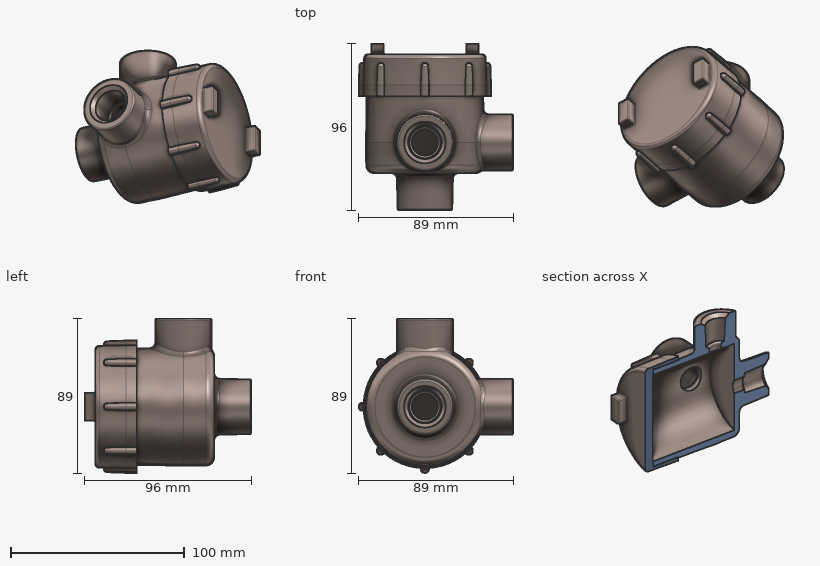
import cadquery as cq
import math


tolerance = 0.01

draft_slope = math.tan(math.radians(1))
barrel_radius = 34.2
end_face_y = -17.8
barrel_end_radius = barrel_radius + end_face_y * draft_slope
end_rounding = 5.0
end_wall = 4.0
cavity_radius = 29.4
cavity_front_y = end_face_y + end_wall

side_hub_reach = 50.8
side_hub_radius = 32.6 / 2
front_hub_reach = 39.0
front_hub_tip_radius = 15.8
front_hub_root_radius = 16.3
hub_fillet = 3.0
hub_tip_rounding = 1.0

mouth_radius = 12.0
bore_radius = 9.6
bore_depth = 17.3
bore_end_radius = 9.0
lip_radius = 15.1 / 2

cap_skirt_y = 26.8
cap_parting_y = 33.2
cap_top_y = 50.9
cap_radius = 35.4
cap_top_radius = cap_radius - (cap_top_y - cap_parting_y) * draft_slope
cap_rounding = 2.5
cap_thickness = 5.8
neck_radius = 66.5 / 2
neck_end_y = cap_top_y - cap_thickness

rib_count = 8
rib_axis_radius = 35.8
rib_radius = 2.4
rib_tip_radius = 2.0
rib_taper_end_y = 43.9

lug_spacing = 54.7
lug_width = 7.3
lug_length = 16.2
lug_height = 6.1
lug_rounding = 0.7
lug_root_fillet = 0.5


def revolve_about_y(outline):
    """Close an outline drawn in radius and Y, and turn it about the Y axis."""
    return outline.close().revolve(360, (0, 0, 0), (0, 1, 0))


def turn_to_x(shape):
    """Turn a shape that points along -Y so that it points along +X."""
    return shape.rotate((0, 0, 0), (0, 0, 1), 90)


def turn_to_z(shape):
    """Turn a shape that points along -Y so that it points along +Z."""
    return shape.rotate((0, 0, 0), (1, 0, 0), -90)


def fillet_edges(body, radius, belongs):
    """Round the edges of a body for which belongs(edge) is true."""
    solid = body.solids().val()
    chosen = [edge for edge in solid.Edges() if belongs(edge)]
    return cq.Workplane(solid.fillet(radius, chosen))


def is_circle(edge, radius, y):
    """True for a circle about the Y axis with this radius, at height y."""
    return (
        edge.geomType() == "CIRCLE"
        and abs(edge.radius() - radius) < tolerance
        and abs(edge.Center().y - y) < tolerance
    )


def is_side_hub_root(edge):
    """True for the curves in which the side hubs meet the barrel."""
    if edge.geomType() == "LINE":
        return False
    point = edge.positionAt(0.5)
    for along, across in ((point.x, point.z), (point.z, point.x)):
        on_hub = abs(math.hypot(point.y, across) - side_hub_radius) < tolerance
        if on_hub and 0 < along < barrel_radius + tolerance:
            return True
    return False


def make_hub_bore(reach, inner_y):
    """Cutter for a bore along -Y, from the hub tip to inner_y inside the cavity."""
    chamfer_end_y = -reach + (mouth_radius - bore_radius)
    lip_start_y = -reach + bore_depth
    lip_rounding = bore_end_radius - lip_radius
    outline = (
        cq.Workplane("XY")
        .moveTo(0, -reach)
        .lineTo(mouth_radius, -reach)
        .lineTo(bore_radius, chamfer_end_y)
        .lineTo(bore_end_radius, lip_start_y)
        .radiusArc((lip_radius, lip_start_y + lip_rounding), lip_rounding)
        .lineTo(lip_radius, inner_y)
        .lineTo(0, inner_y)
    )
    return revolve_about_y(outline)


def make_barrel():
    """Solid barrel with the front hub and the neck that enters the cap."""
    skirt_radius = barrel_radius - cap_skirt_y * draft_slope
    outline = (
        cq.Workplane("XY")
        .moveTo(0, -front_hub_reach)
        .lineTo(front_hub_tip_radius, -front_hub_reach)
        .lineTo(front_hub_root_radius, end_face_y)
        .lineTo(barrel_end_radius, end_face_y)
        .lineTo(barrel_radius, 0)
        .lineTo(skirt_radius, cap_skirt_y)
        .lineTo(neck_radius, cap_skirt_y)
        .lineTo(neck_radius, neck_end_y)
        .lineTo(0, neck_end_y)
    )
    barrel = revolve_about_y(outline)
    barrel = barrel.rotate((0, 0, 0), (0, 1, 0), 135)
    barrel = fillet_edges(barrel, end_rounding, lambda edge: is_circle(edge, barrel_end_radius, end_face_y))
    barrel = fillet_edges(barrel, hub_fillet, lambda edge: is_circle(edge, front_hub_root_radius, end_face_y))
    return barrel.faces("<Y").edges().fillet(hub_tip_rounding)


def make_housing():
    side_post = cq.Workplane("XZ").circle(side_hub_radius).extrude(side_hub_reach)
    side_post = side_post.faces("<Y").edges().fillet(hub_tip_rounding)
    body = make_barrel().union(turn_to_x(side_post)).union(turn_to_z(side_post))
    body = fillet_edges(body, hub_fillet, is_side_hub_root)

    cavity_length = neck_end_y - cavity_front_y
    cavity = cq.Workplane("XZ", (0, neck_end_y, 0)).circle(cavity_radius).extrude(cavity_length)
    front_bore = make_hub_bore(front_hub_reach, cavity_front_y)
    side_bore = make_hub_bore(side_hub_reach, 0)
    return body.cut(cavity).cut(front_bore).cut(turn_to_x(side_bore)).cut(turn_to_z(side_bore))


def make_rib():
    """Grip rib along Y on the +X side: straight, then tapered, with a ball end."""
    outline = (
        cq.Workplane("XY")
        .moveTo(0, cap_skirt_y)
        .lineTo(rib_radius, cap_skirt_y)
        .lineTo(rib_radius, cap_parting_y)
        .lineTo(rib_tip_radius, rib_taper_end_y)
        .radiusArc((0, rib_taper_end_y + rib_tip_radius), -rib_tip_radius)
    )
    return revolve_about_y(outline).translate((rib_axis_radius, 0, 0))


def is_lug_root(edge):
    """True for the outline in which a lug stands on the closed end of the cap."""
    on_cap_top = abs(edge.Center().y - cap_top_y) < tolerance
    on_cap_rim = edge.geomType() == "CIRCLE" and edge.radius() > lug_length
    return on_cap_top and not on_cap_rim


def make_lug(x):
    lug = (
        cq.Workplane("XZ", (x, cap_top_y, 0))
        .rect(lug_width, lug_length)
        .extrude(-lug_height)
    )
    return lug.edges("|Y or >Y").fillet(lug_rounding)


def make_cap():
    outline = (
        cq.Workplane("XY")
        .moveTo(0, cap_skirt_y)
        .lineTo(cap_radius, cap_skirt_y)
        .lineTo(cap_radius, cap_parting_y)
        .lineTo(cap_top_radius, cap_top_y)
        .lineTo(0, cap_top_y)
    )
    cap = revolve_about_y(outline)
    cap = cap.faces(">Y").edges().fillet(cap_rounding)
    rib = make_rib()
    for index in range(rib_count):
        cap = cap.union(rib.rotate((0, 0, 0), (0, 1, 0), index * 360 / rib_count))
    for x in (-lug_spacing / 2, lug_spacing / 2):
        cap = cap.union(make_lug(x))
    cap = fillet_edges(cap, lug_root_fillet, is_lug_root)
    recess_depth = neck_end_y - cap_skirt_y
    recess = cq.Workplane("XZ", (0, neck_end_y, 0)).circle(neck_radius).extrude(recess_depth)
    return cap.cut(recess)


housing = make_housing()
cap = make_cap()
result = cq.Compound.makeCompound([housing.solids().val(), cap.solids().val()])